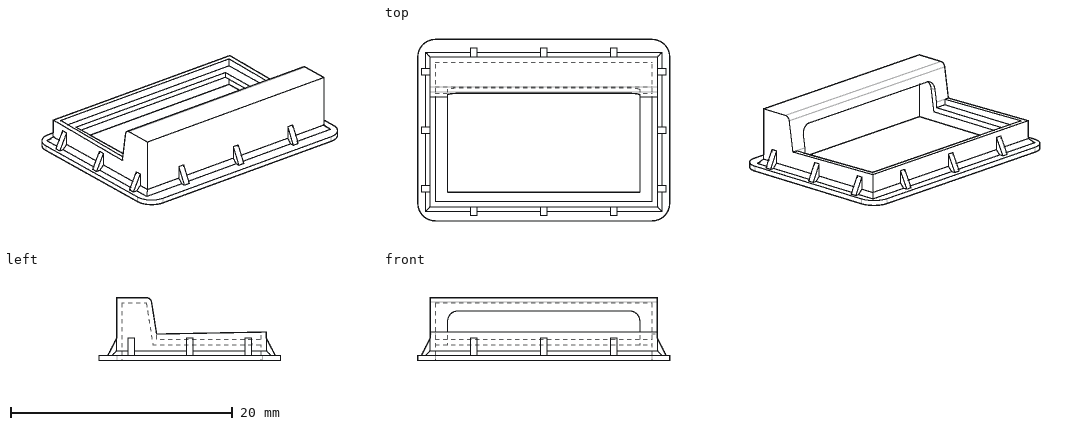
import cadquery as cq
import math

FLANGE_LENGTH = 22.75
FLANGE_WIDTH = 16.4
FLANGE_THICKNESS = 0.48
FLANGE_CORNER_RADIUS = 1.62

TOTAL_HEIGHT = 5.69
BODY_LENGTH = 20.5
BODY_FRONT_Y = -6.92
BODY_BACK_Y = 6.6
WALL = 0.48
FRONT_RIM_HEIGHT = 2.6
SKIRT_CHAMFER = 0.4

HOOD_FOOT_Y = 2.98
HOOD_FOOT_HEIGHT = 2.41
HOOD_LEAN = math.radians(9)
HOOD_EDGE_RADIUS = 0.48

LEDGE_TOP = 1.89
LEDGE_THICKNESS = 0.48
OPENING_LENGTH = 17.34
OPENING_FRONT_Y = -5.6
OPENING_HEIGHT = 4.48
OPENING_CORNER_RADIUS = 0.9

RIB_THICKNESS = 0.57
RIB_REACH = 0.8
RIB_TOP = 2.05
RIB_PITCH_X = 6.32
RIB_PITCH_Y = 5.28

LEDGE_BOTTOM = LEDGE_TOP - LEDGE_THICKNESS
CAVITY_LENGTH = BODY_LENGTH - 2 * WALL
CAVITY_FRONT_Y = BODY_FRONT_Y + WALL
CAVITY_BACK_Y = BODY_BACK_Y - WALL
BODY_WIDTH = BODY_BACK_Y - BODY_FRONT_Y
BODY_CENTER_Y = (BODY_BACK_Y + BODY_FRONT_Y) / 2


def hood_face_y(z):
    """Y of the leaning outer hood face at height z."""
    return HOOD_FOOT_Y + (z - HOOD_FOOT_HEIGHT) * math.tan(HOOD_LEAN)


def extrude_along_x(points, length):
    """Extrude a closed (Y, Z) outline symmetrically about X = 0."""
    return cq.Workplane("YZ").polyline(points).close().extrude(length / 2, both=True)


def box_between(length, y_range, z_range):
    """Box centred on X = 0 between the given Y and Z limits."""
    y_min, y_max = y_range
    z_min, z_max = z_range
    box = cq.Workplane("XY").box(length, y_max - y_min, z_max - z_min, centered=(True, False, False))
    return box.translate((0, y_min, z_min))


def make_flange():
    flange = cq.Workplane("XY").rect(FLANGE_LENGTH, FLANGE_WIDTH).extrude(FLANGE_THICKNESS)
    return flange.edges("|Z").fillet(FLANGE_CORNER_RADIUS)


def make_body():
    hood_top_y = hood_face_y(TOTAL_HEIGHT)
    body = extrude_along_x(
        [
            (BODY_FRONT_Y, 0),
            (BODY_BACK_Y, 0),
            (BODY_BACK_Y, TOTAL_HEIGHT),
            (hood_top_y, TOTAL_HEIGHT),
            (HOOD_FOOT_Y, HOOD_FOOT_HEIGHT),
            (BODY_FRONT_Y, FRONT_RIM_HEIGHT),
        ],
        BODY_LENGTH,
    )
    hood_edge = cq.selectors.NearestToPointSelector((0, hood_top_y, TOTAL_HEIGHT))
    return body.edges(hood_edge).fillet(HOOD_EDGE_RADIUS)


def make_skirt():
    """Sloped skirt where the body meets the flange."""
    return (
        cq.Workplane("XY", origin=(0, BODY_CENTER_Y, FLANGE_THICKNESS))
        .rect(BODY_LENGTH + 2 * SKIRT_CHAMFER, BODY_WIDTH + 2 * SKIRT_CHAMFER)
        .workplane(offset=SKIRT_CHAMFER)
        .rect(BODY_LENGTH, BODY_WIDTH)
        .loft(ruled=True)
    )


def make_rib(x, y, outward_angle):
    """Rib on a body wall at (x, y), reaching out in the given direction (degrees)."""
    rib = (
        cq.Workplane("XZ")
        .polyline(
            [
                (-WALL / 2, FLANGE_THICKNESS),
                (RIB_REACH, FLANGE_THICKNESS),
                (0, RIB_TOP),
                (-WALL / 2, RIB_TOP),
            ]
        )
        .close()
        .extrude(RIB_THICKNESS / 2, both=True)
    )
    return rib.rotate((0, 0, 0), (0, 0, 1), outward_angle).translate((x, y, 0))


def add_ribs(part):
    for step in (-1, 0, 1):
        x = step * RIB_PITCH_X
        y = step * RIB_PITCH_Y
        part = part.union(make_rib(x, BODY_BACK_Y, 90))
        part = part.union(make_rib(x, BODY_FRONT_Y, -90))
        part = part.union(make_rib(BODY_LENGTH / 2, y, 0))
        part = part.union(make_rib(-BODY_LENGTH / 2, y, 180))
    return part


def make_cavity():
    """Hollow open at the bottom, running under the ledge and up into the hood."""
    ceiling = TOTAL_HEIGHT - WALL
    lean_wall_y = WALL / math.cos(HOOD_LEAN)
    return extrude_along_x(
        [
            (CAVITY_FRONT_Y, 0),
            (CAVITY_BACK_Y, 0),
            (CAVITY_BACK_Y, ceiling),
            (hood_face_y(ceiling) + lean_wall_y, ceiling),
            (hood_face_y(LEDGE_BOTTOM) + lean_wall_y, LEDGE_BOTTOM),
            (CAVITY_FRONT_Y, LEDGE_BOTTOM),
        ],
        CAVITY_LENGTH,
    )


def make_opening():
    """Opening through the ledge and the hood face, rounded at its upper corners."""
    opening = box_between(OPENING_LENGTH, (OPENING_FRONT_Y, CAVITY_BACK_Y), (0, OPENING_HEIGHT))
    return opening.edges("|Y and >Z").fillet(OPENING_CORNER_RADIUS)


recess = box_between(CAVITY_LENGTH, (CAVITY_FRONT_Y, HOOD_FOOT_Y), (LEDGE_TOP, TOTAL_HEIGHT))

result = add_ribs(make_flange().union(make_body()).union(make_skirt()))
result = result.cut(make_cavity()).cut(recess).cut(make_opening())